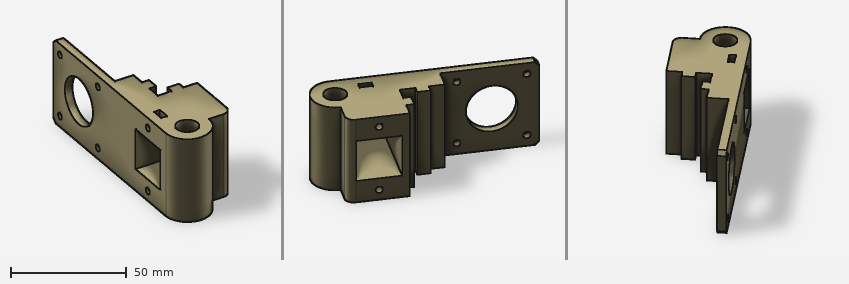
import cadquery as cq

length = 103.0
depth = 33.5
height = 42.0

plate_thickness = 4.0
corner_chamfer = 2.0

barrel_radius = 11.0
barrel_bore = 10.4
barrel_x = length - barrel_radius
barrel_y = barrel_radius

low_step_x = 44.0
low_step_y = 13.5
high_step_x = 64.0
block_fillet = 4.0

rib_width = 6.0
rib_height = 3.5
low_rib_x = (low_step_x + high_step_x) / 2
high_rib_y = (low_step_y + depth) / 2

opening_diameter = 23.0
opening_x = 21.0
screw_diameter = 3.2
plate_screw_spacing = 31.0

window_size = 20.2
window_x = 77.5
window_screw_spacing = 31.9
nut_width = 6.0
nut_thickness = 3.0
nut_y = 6.5
nut_slot_depth = (height - window_screw_spacing + nut_width) / 2


def block(x_min, x_max, y_min, y_max):
    """Full-height block centred on Z = 0."""
    return (
        cq.Workplane("XY")
        .box(x_max - x_min, y_max - y_min, height, centered=(False, False, True))
        .translate((x_min, y_min, 0))
    )


def holes_along_y(diameter, centres):
    """Round cutters through the whole depth at the given (X, Z) centres."""
    return cq.Workplane("XZ").pushPoints(centres).circle(diameter / 2).extrude(-depth)


def make_body():
    plate = block(0, barrel_x, 0, plate_thickness).edges("|Y and <X").chamfer(corner_chamfer)
    low_block = block(low_step_x, barrel_x, 0, low_step_y)
    high_block = block(high_step_x, barrel_x, 0, depth).edges("|Z and >X and >Y").fillet(block_fillet)
    barrel = (
        cq.Workplane("XY", origin=(barrel_x, barrel_y, -height / 2))
        .circle(barrel_radius)
        .extrude(height)
    )
    half_rib = rib_width / 2
    low_rib = block(low_rib_x - half_rib, low_rib_x + half_rib, low_step_y, low_step_y + rib_height)
    high_rib = block(high_step_x - rib_height, high_step_x, high_rib_y - half_rib, high_rib_y + half_rib)
    return plate.union(low_block).union(high_block).union(barrel).union(low_rib).union(high_rib)


def make_cutters():
    bore = (
        cq.Workplane("XY", origin=(barrel_x, barrel_y, -height / 2))
        .circle(barrel_bore / 2)
        .extrude(height)
    )
    opening = holes_along_y(opening_diameter, [(opening_x, 0)])
    half_spacing = plate_screw_spacing / 2
    plate_screws = [
        (opening_x + x_side * half_spacing, z_side * half_spacing)
        for x_side in (-1, 1)
        for z_side in (-1, 1)
    ]
    window_screws = [(window_x, z_side * window_screw_spacing / 2) for z_side in (-1, 1)]
    screws = holes_along_y(screw_diameter, plate_screws + window_screws)
    window = (
        cq.Workplane("XZ", origin=(window_x, 0, 0))
        .rect(window_size, window_size)
        .extrude(-depth)
    )
    nut_slot = (
        cq.Workplane("XY", origin=(window_x, nut_y, height / 2))
        .rect(nut_width, nut_thickness)
        .extrude(-nut_slot_depth)
    )
    return [bore, opening, screws, window, nut_slot]


result = make_body()
for cutter in make_cutters():
    result = result.cut(cutter)